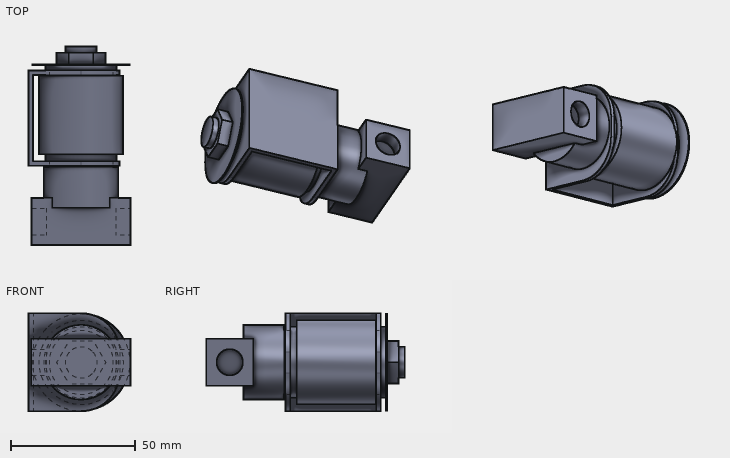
import cadquery as cq


block_length = 40.0
block_side = 19.0
port_diameter = 10.55
port_depth = 6.0

barrel_radius = 15.0
neck_radius = 12.9
collar_radius = 14.3
coil_radius = 16.95
washer_radius = 19.6
stud_radius = 6.3
nut_across_corners = 19.8

bracket_back_x = -21.2
bracket_end_x = 15.5
bracket_height = 39.5
bracket_thickness = 1.9
bracket_length = 38.4

barrel_start = 15.0
barrel_end = 31.4
bracket_start = 31.9
bracket_end = bracket_start + bracket_length
bracket_inner_start = bracket_start + bracket_thickness
bracket_inner_end = bracket_end - bracket_thickness
coil_start = 36.45
coil_end = 68.2
washer_start = 72.3
nut_start = 72.8
nut_end = 77.45
stud_end = 79.9


def xz_plane_at(y):
    """Sketch plane at station y whose normal points along +Y."""
    return cq.Workplane(cq.Plane(origin=(0, y, 0), xDir=(1, 0, 0), normal=(0, 1, 0)))


def disc(radius, start, end):
    """Cylinder on the valve axis between two stations."""
    return xz_plane_at(start).circle(radius).extrude(end - start)


def make_port_block():
    block = cq.Workplane("XY").box(block_length, block_side, block_side)
    for face in ("<X", ">X"):
        block = block.faces(face).workplane(centerOption="CenterOfBoundBox").hole(port_diameter, port_depth)
    return block.translate((0, block_side / 2, 0))


def make_nut():
    return xz_plane_at(nut_start).polygon(6, nut_across_corners).extrude(nut_end - nut_start)


def make_valve():
    """Port block, barrel, coil, washer, nut and stud as one solid."""
    valve = make_port_block()
    sections = [
        (barrel_radius, barrel_start, barrel_end),
        (neck_radius, barrel_end, bracket_inner_start),
        (collar_radius, bracket_inner_start, coil_start),
        (coil_radius, coil_start, coil_end),
        (collar_radius, coil_end, bracket_inner_end),
        (neck_radius, bracket_inner_end, bracket_end),
        (collar_radius, bracket_end, washer_start),
        (washer_radius, washer_start, nut_start),
        (stud_radius, nut_start, stud_end),
    ]
    for radius, start, end in sections:
        valve = valve.union(disc(radius, start, end))
    return valve.union(make_nut())


def make_bracket():
    """U-shaped strap with rounded arm ends and a hole for the neck in each arm."""
    arm_reach = bracket_end_x - bracket_back_x
    bracket = cq.Workplane("XY").box(arm_reach, bracket_length, bracket_height, centered=(False, False, True))
    bracket = bracket.edges(">X and |Y").fillet(bracket_end_x)
    bracket = bracket.translate((bracket_back_x, bracket_start, 0))
    opening = cq.Workplane("XY").box(
        arm_reach,
        bracket_inner_end - bracket_inner_start,
        bracket_height,
        centered=(False, False, True),
    )
    opening = opening.translate((bracket_back_x + bracket_thickness, bracket_inner_start, 0))
    return bracket.cut(opening).cut(disc(neck_radius, bracket_start, bracket_end))


valve = make_valve()
bracket = make_bracket()

result = cq.Compound.makeCompound([valve.solids().val(), bracket.solids().val()])